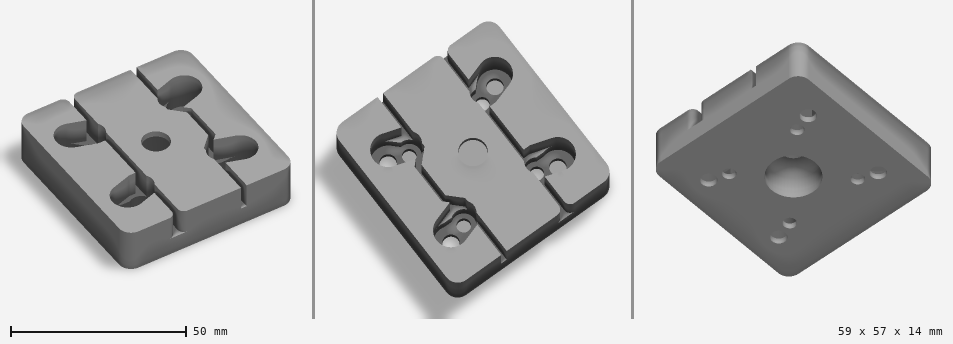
import cadquery as cq

length = 59.0
width = 57.0
height = 14.0
corner_radius = 4.0
top = height / 2

slot_depth = 8.0
slot_inner_y = 10.05
slot_width = 1.95
slot_outer_y = slot_inner_y + slot_width
mouth_radius = 2.1

detour_inner_half = 5.65
detour_outer_half = 6.45
detour_shift = 4.0

large_x, large_y = 15.0, 19.0
small_x, small_y = 13.0, 13.0
large_hole_diameter = 5.0
small_hole_diameter = 4.2
large_pocket_diameter = 10.25
small_pocket_diameter = 7.25
pocket_depth = 12.0

neck_inner_x = 10.05
neck_outer_large = (19.05, 15.8)
neck_outer_small = (16.5, 13.2)

flare_inner_x = 8.1
flare_inner_y = 14.15
flare_outer_x = 18.1
flare_inner_tangent = (10.1, 20.6)
flare_outer_tangent = (19.8, 17.35)

bore_diameter = 8.5
counterbore_diameter = 16.5
counterbore_depth = 12.0
counterbore_fillet = 4.0


def cut_from_top(sketch, depth):
    """Solid that sinks a sketched outline into the top face."""
    return sketch.extrude(-depth)


def top_plane():
    return cq.Workplane("XY").workplane(offset=top)


def cylinder(x, y, diameter, depth):
    return cut_from_top(top_plane().center(x, y).circle(diameter / 2), depth)


def front_slot():
    """Straight slot with rounded mouths at both ends."""
    end = length / 2
    start = end - mouth_radius
    inner, outer = -slot_inner_y, -slot_outer_y
    outline = (
        top_plane()
        .moveTo(-start, inner)
        .lineTo(start, inner)
        .radiusArc((end, inner + mouth_radius), -mouth_radius)
        .lineTo(end, outer - mouth_radius)
        .radiusArc((start, outer), -mouth_radius)
        .lineTo(-start, outer)
        .radiusArc((-end, outer - mouth_radius), -mouth_radius)
        .lineTo(-end, inner + mouth_radius)
        .radiusArc((-start, inner), -mouth_radius)
        .close()
    )
    return cut_from_top(outline, slot_depth)


def back_slot():
    """Slot that steps outward around the middle of the block."""
    end = length / 2
    right_inner = [
        (detour_inner_half, slot_inner_y + detour_shift),
        (detour_inner_half + detour_shift, slot_inner_y),
        (end, slot_inner_y),
    ]
    right_outer = [
        (end, slot_outer_y),
        (detour_outer_half + detour_shift, slot_outer_y),
        (detour_outer_half, slot_outer_y + detour_shift),
    ]
    right = right_inner + right_outer
    left = [(-x, y) for x, y in reversed(right)]
    return cut_from_top(top_plane().polyline(right + left).close(), slot_depth)


def hole_pair():
    """Pocket, flare and two through holes in the +X +Y quarter."""
    neck = top_plane().polyline([
        (neck_inner_x, large_y),
        (neck_inner_x, small_y),
        neck_outer_small,
        neck_outer_large,
        (large_x, large_y),
    ]).close()
    flare = top_plane().polyline([
        flare_inner_tangent,
        (flare_inner_x, flare_inner_y),
        (flare_inner_x, slot_outer_y),
        (flare_outer_x, slot_outer_y),
        flare_outer_tangent,
    ]).close()
    return (
        cylinder(large_x, large_y, large_pocket_diameter, pocket_depth)
        .union(cylinder(small_x, small_y, small_pocket_diameter, pocket_depth))
        .union(cut_from_top(neck, pocket_depth))
        .union(cut_from_top(flare, slot_depth))
        .union(cylinder(large_x, large_y, large_hole_diameter, height))
        .union(cylinder(small_x, small_y, small_hole_diameter, height))
    )


block = cq.Workplane("XY").box(length, width, height).edges("|Z").fillet(corner_radius)

body = block.cut(front_slot()).cut(back_slot())

right_back = hole_pair()
right_front = right_back.mirror("XZ")
for pair in (right_back, right_front):
    body = body.cut(pair).cut(pair.mirror("YZ"))

counterbore = (
    cq.Workplane("XY")
    .workplane(offset=-top)
    .circle(counterbore_diameter / 2)
    .extrude(counterbore_depth)
    .faces(">Z")
    .edges()
    .fillet(counterbore_fillet)
)
result = body.cut(cylinder(0, 0, bore_diameter, height)).cut(counterbore)